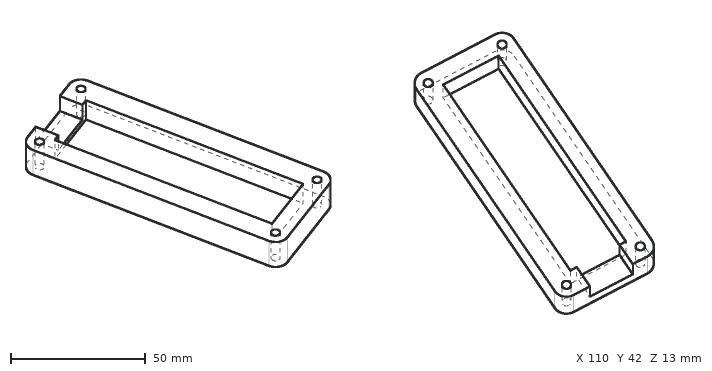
import cadquery as cq

length = 110.0
width = 42.0
height = 13.0
corner_radius = 5.1

pocket_length = 92.0
pocket_width = 24.0
pocket_depth = 10.0
pocket_end_wall = 8.5
opening_offset = -0.4

notch_width = 18.5
notch_depth = 7.7

hole_diameter = 3.4


def make_block():
    """Plain block with rounded vertical corners, standing on Z = 0."""
    block = cq.Workplane("XY").box(length, width, height, centered=(True, True, False))
    return block.edges("|Z").fillet(corner_radius)


def make_cut(x_start, x_end, cut_width, depth):
    """Box on the shifted centreline, reaching down from the top face."""
    return (
        cq.Workplane("XY", origin=(0, 0, height - depth))
        .center((x_start + x_end) / 2, opening_offset)
        .rect(x_end - x_start, cut_width)
        .extrude(depth)
    )


pocket_end = length / 2 - pocket_end_wall
pocket_start = pocket_end - pocket_length
pocket = make_cut(pocket_start, pocket_end, pocket_width, pocket_depth)
notch = make_cut(-length / 2, pocket_start, notch_width, notch_depth)

screw_holes = (
    cq.Workplane("XY")
    .rect(length - 2 * corner_radius, width - 2 * corner_radius, forConstruction=True)
    .vertices()
    .circle(hole_diameter / 2)
    .extrude(height)
)

result = make_block().cut(pocket).cut(notch).cut(screw_holes)